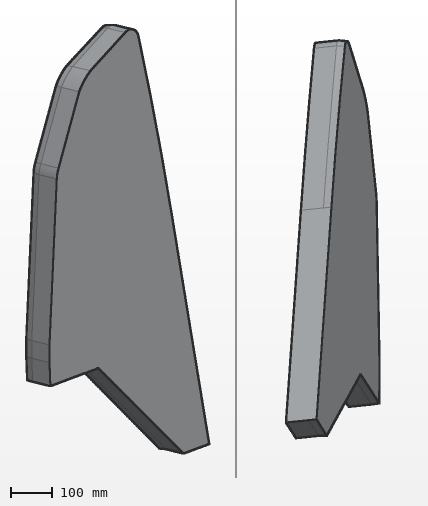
import cadquery as cq
import math

thickness = 76.0
cap_thickness = 20.0
height = 1106.0
chord = 583.0

nose_center_y = 292.0
nose_radius = 34.0
nose_inset = 3.9
shoulder_inset = 2.0
trailing_inset = 2.0
foot_lift = 2.0
nose_center_z = height - nose_radius

leading_normal = 15.0
crown_normal = 118.0

heel = (chord, 5.0)
leading_bend = (446.0, 612.0)
leading_mid = (399.0, 806.0)
shoulder_start = (149.0, 1034.0)
shoulder_mid = (129.0, 1017.0)
shoulder_end = (108.0, 991.0)
knee_start = (33.0, 816.0)
knee_mid = (29.0, 804.0)
knee_end = (27.0, 791.0)
trailing_upper = (0.0, 382.0)
trailing_lower = (0.0, 337.0)
trailing_foot = (3.0, 278.0)
notch = (178.0, 284.0)
foot_y = 489.0


def nose_point(radius, angle):
    """Point on the nose circle at an elevation angle measured from +Y."""
    turn = math.radians(angle)
    return nose_center_y + radius * math.cos(turn), nose_center_z + radius * math.sin(turn)


def draw_outline(plane, nose_reduction, shoulder_drop, trailing_setback, foot_z):
    """Closed fin outline with its nose, shoulder, trailing edge and foot adjusted."""
    radius = nose_radius - nose_reduction
    shoulder = (shoulder_start[0], shoulder_start[1] - shoulder_drop)

    def set_back(point):
        return point[0] + trailing_setback, point[1]

    return (
        plane.moveTo(*heel)
        .lineTo(*leading_bend)
        .threePointArc(leading_mid, nose_point(radius, leading_normal))
        .threePointArc(nose_point(radius, 90), nose_point(radius, crown_normal))
        .lineTo(*shoulder)
        .threePointArc(set_back(shoulder_mid), set_back(shoulder_end))
        .lineTo(*set_back(knee_start))
        .threePointArc(set_back(knee_mid), set_back(knee_end))
        .lineTo(*set_back(trailing_upper))
        .lineTo(*set_back(trailing_lower))
        .lineTo(*set_back(trailing_foot))
        .lineTo(*notch)
        .lineTo(foot_y, foot_z)
        .close()
    )


slab_plane = cq.Workplane("YZ").workplane(offset=cap_thickness)
slab = draw_outline(slab_plane, 0, 0, 0, foot_lift).extrude(thickness - cap_thickness)

outer_outline = draw_outline(cq.Workplane("YZ"), nose_inset, shoulder_inset, trailing_inset, 0)
cap_plane = outer_outline.workplane(offset=cap_thickness)
cap = draw_outline(cap_plane, 0, 0, 0, foot_lift).loft(ruled=True)

result = slab.union(cap)